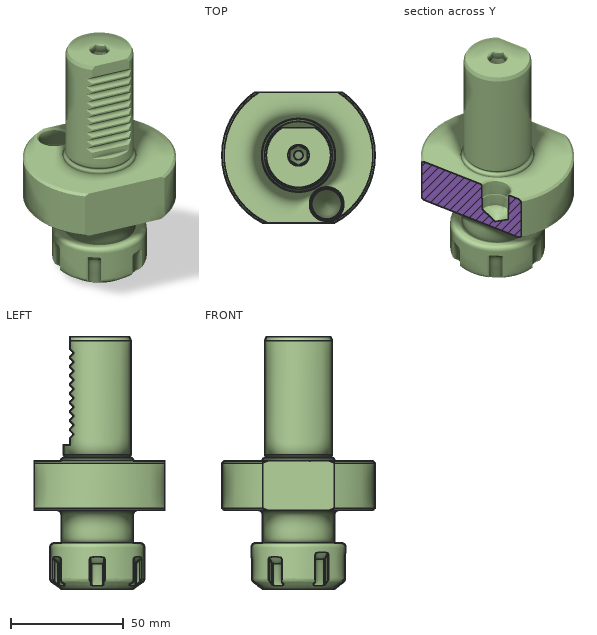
import cadquery as cq
import math

TOTAL_HEIGHT = 112.0
FLANGE_TOP = 57.0
FLANGE_BOTTOM = 35.0
NUT_TOP = 20.6

SHANK_RADIUS = 15.0
SHANK_TOP_CHAMFER_HEIGHT = 1.7
SHANK_TOP_CHAMFER_WIDTH = 0.8
SHANK_FOOT_Z = 58.6
SHANK_FOOT_CHAMFER_HEIGHT = 1.0
SHANK_FOOT_CHAMFER_WIDTH = 0.6

FLAT_Y = 12.1
FLAT_BOTTOM = 64.1
TOOTH_COUNT = 10
TOOTH_ROW_LENGTH = 36.1
TOOTH_DEPTH = 1.7
FIRST_TOOTH_Z = 68.8

FLANGE_RADIUS = 68.0 / 2
FLANGE_CHAMFER = 1.0
FLANGE_BACK_Y = 28.0
FLANGE_FRONT_Y = -30.0

SEAL_SECTION_RADIUS = 1.5
SEAL_CENTRE_RADIUS = 14.7
SEAL_GROOVE_RADIUS = 16.4
SEAL_GROOVE_DEPTH = 1.5

NECK_RADIUS = 16.0
NECK_FILLET = 1.9

NUT_RADIUS = 42.0 / 2
NUT_TOP_FILLET = 2.0
NUT_BORE_RADIUS = 17.2
NUT_BORE_DEPTH = 0.6
NUT_FACE_RADIUS = 15.7
NUT_CONE_ANGLE = 36
NUT_BOTTOM_FILLET = 2.2

SLOT_COUNT = 6
SLOT_FLOOR_RADIUS = 17.9
SLOT_FLOOR_WIDTH = 4.9
SLOT_WALL_WIDTH = 5.9
SLOT_MOUTH_WIDTH = 7.0
SLOT_FLOOR_CHAMFER = 0.5
SLOT_MOUTH_CHAMFER = 0.6
SLOT_TOP = 14.5
HIGH_SLOT_TOP = 16.5
SLOT_CORNER_FILLET = 1.0

HOLE_PITCH_RADIUS = 25.0
HOLE_ANGLE = -60
HOLE_MOUTH_RADIUS = 7.0
HOLE_MOUTH_DEPTH = 8.0
HOLE_CHAMFER = 0.7
HOLE_RADIUS = 6.6
HOLE_DEPTH = 14.0

DRILL_HALF_ANGLE = 59

HEX_ACROSS_FLATS = 8.0
HEX_DEPTH = 3.6
HEX_LEAD_IN_RADIUS = 4.7
HEX_TIP_RADIUS = 2.0


def main_body():
    """Shank, flange, neck and nut turned from one profile."""
    cone_angle = math.radians(NUT_CONE_ANGLE)
    corner_z = (NUT_RADIUS - NUT_FACE_RADIUS) * math.tan(cone_angle)
    tangent_length = NUT_BOTTOM_FILLET * math.tan((math.pi / 2 - cone_angle) / 2)
    cone_end = (
        NUT_RADIUS - tangent_length * math.cos(cone_angle),
        corner_z - tangent_length * math.sin(cone_angle),
    )
    shoulder = SHANK_RADIUS - SHANK_FOOT_CHAMFER_WIDTH
    profile = (
        cq.Workplane("XZ")
        .lineTo(NUT_FACE_RADIUS, 0)
        .lineTo(*cone_end)
        .radiusArc((NUT_RADIUS, corner_z + tangent_length), -NUT_BOTTOM_FILLET)
        .lineTo(NUT_RADIUS, NUT_TOP - NUT_TOP_FILLET)
        .radiusArc((NUT_RADIUS - NUT_TOP_FILLET, NUT_TOP), -NUT_TOP_FILLET)
        .lineTo(NUT_BORE_RADIUS, NUT_TOP)
        .lineTo(NUT_BORE_RADIUS, NUT_TOP - NUT_BORE_DEPTH)
        .lineTo(NECK_RADIUS, NUT_TOP - NUT_BORE_DEPTH)
        .lineTo(NECK_RADIUS, FLANGE_BOTTOM - NECK_FILLET)
        .radiusArc((NECK_RADIUS + NECK_FILLET, FLANGE_BOTTOM), NECK_FILLET)
        .lineTo(FLANGE_RADIUS - FLANGE_CHAMFER, FLANGE_BOTTOM)
        .lineTo(FLANGE_RADIUS, FLANGE_BOTTOM + FLANGE_CHAMFER)
        .lineTo(FLANGE_RADIUS, FLANGE_TOP - FLANGE_CHAMFER)
        .lineTo(FLANGE_RADIUS - FLANGE_CHAMFER, FLANGE_TOP)
        .lineTo(SEAL_GROOVE_RADIUS, FLANGE_TOP)
        .lineTo(SEAL_GROOVE_RADIUS, FLANGE_TOP - SEAL_GROOVE_DEPTH)
        .lineTo(shoulder, FLANGE_TOP - SEAL_GROOVE_DEPTH)
        .lineTo(shoulder, SHANK_FOOT_Z)
        .lineTo(SHANK_RADIUS, SHANK_FOOT_Z + SHANK_FOOT_CHAMFER_HEIGHT)
        .lineTo(SHANK_RADIUS, TOTAL_HEIGHT - SHANK_TOP_CHAMFER_HEIGHT)
        .lineTo(SHANK_RADIUS - SHANK_TOP_CHAMFER_WIDTH, TOTAL_HEIGHT)
        .lineTo(0, TOTAL_HEIGHT)
        .close()
    )
    return profile.revolve(360, (0, 0, 0), (0, 1, 0))


def seal_ring():
    """Round-section ring, half sunk below the flange top."""
    return (
        cq.Workplane("XZ")
        .center(SEAL_CENTRE_RADIUS, FLANGE_TOP)
        .circle(SEAL_SECTION_RADIUS)
        .revolve(360, (-SEAL_CENTRE_RADIUS, 0, 0), (-SEAL_CENTRE_RADIUS, 1, 0))
    )


def flange_flat_cutters():
    """Blocks beyond the front and back flats of the flange."""
    width = 2 * FLANGE_RADIUS
    height = FLANGE_TOP - FLANGE_BOTTOM
    blocks = cq.Workplane("XY", origin=(0, 0, FLANGE_BOTTOM))
    back = blocks.center(0, FLANGE_BACK_Y + width / 2).rect(width, width).extrude(height)
    front = blocks.center(0, FLANGE_FRONT_Y - width / 2).rect(width, width).extrude(height)
    return back.union(front)


def toothed_flat_cutter():
    """Material removed for the shank flat, with a row of right-angled V teeth across it."""
    points = [(SHANK_RADIUS, FLAT_BOTTOM), (FLAT_Y, FLAT_BOTTOM)]
    pitch = TOOTH_ROW_LENGTH / (TOOTH_COUNT - 1)
    for index in range(TOOTH_COUNT):
        z = FIRST_TOOTH_Z + index * pitch
        points += [
            (FLAT_Y, z - TOOTH_DEPTH),
            (FLAT_Y - TOOTH_DEPTH, z),
            (FLAT_Y, z + TOOTH_DEPTH),
        ]
    points += [(FLAT_Y, TOTAL_HEIGHT), (SHANK_RADIUS, TOTAL_HEIGHT)]
    return cq.Workplane("YZ").polyline(points).close().extrude(SHANK_RADIUS, both=True)


def spanner_slot_cutter(top, angle):
    """One slot, open at the bottom, with a roof sloping down towards its floor."""
    reach = NUT_RADIUS - SLOT_FLOOR_RADIUS
    half_floor = SLOT_FLOOR_WIDTH / 2
    half_wall = SLOT_WALL_WIDTH / 2
    half_mouth = SLOT_MOUTH_WIDTH / 2
    mouth_edge = math.sqrt(NUT_RADIUS**2 - half_mouth**2)
    right_side = [
        (SLOT_FLOOR_RADIUS, half_floor),
        (SLOT_FLOOR_RADIUS + SLOT_FLOOR_CHAMFER, half_wall),
        (mouth_edge - SLOT_MOUTH_CHAMFER, half_wall),
        (mouth_edge, half_mouth),
        (NUT_RADIUS + reach, half_mouth),
    ]
    left_side = [(x, -y) for x, y in reversed(right_side)]
    channel = cq.Workplane("XY").polyline(right_side + left_side).close().extrude(top + reach)
    roof = (
        cq.Workplane("XZ")
        .moveTo(SLOT_FLOOR_RADIUS, 0)
        .lineTo(SLOT_FLOOR_RADIUS, top - reach)
        .lineTo(NUT_RADIUS + reach, top + reach)
        .lineTo(NUT_RADIUS + reach, 0)
        .close()
        .extrude(half_mouth, both=True)
        .edges("|(1,0,1)")
        .fillet(SLOT_CORNER_FILLET)
    )
    return channel.intersect(roof).rotate((0, 0, 0), (0, 0, 1), angle)


def blind_hole_cutter():
    """Blind hole with a chamfered, slightly wider mouth and a drill-point bottom."""
    shoulder_z = FLANGE_TOP - HOLE_DEPTH
    tip_z = shoulder_z - HOLE_RADIUS / math.tan(math.radians(DRILL_HALF_ANGLE))
    step_z = FLANGE_TOP - HOLE_MOUTH_DEPTH
    angle = math.radians(HOLE_ANGLE)
    centre = (HOLE_PITCH_RADIUS * math.cos(angle), HOLE_PITCH_RADIUS * math.sin(angle), 0)
    return (
        cq.Workplane("XZ", origin=centre)
        .moveTo(0, tip_z)
        .lineTo(HOLE_RADIUS, shoulder_z)
        .lineTo(HOLE_RADIUS, step_z)
        .lineTo(HOLE_MOUTH_RADIUS, step_z)
        .lineTo(HOLE_MOUTH_RADIUS, FLANGE_TOP - HOLE_CHAMFER)
        .lineTo(HOLE_MOUTH_RADIUS + HOLE_CHAMFER, FLANGE_TOP)
        .lineTo(0, FLANGE_TOP)
        .close()
        .revolve(360, (0, 0, 0), (0, 1, 0))
    )


def hex_socket_cutter():
    """Hexagon socket with a chamfered mouth and a conical, flat-tipped bottom."""
    corner_radius = HEX_ACROSS_FLATS / math.sqrt(3)
    floor_z = TOTAL_HEIGHT - HEX_DEPTH
    cone_height = (corner_radius - HEX_TIP_RADIUS) / math.tan(math.radians(DRILL_HALF_ANGLE))
    tip_z = floor_z - cone_height
    lead_in_z = TOTAL_HEIGHT - (HEX_LEAD_IN_RADIUS - HEX_ACROSS_FLATS / 2)
    hexagon = (
        cq.Workplane("XY", origin=(0, 0, tip_z))
        .polygon(6, 2 * corner_radius)
        .extrude(TOTAL_HEIGHT - tip_z)
        .rotate((0, 0, 0), (0, 0, 1), 90)
    )
    envelope = (
        cq.Workplane("XZ")
        .moveTo(0, tip_z)
        .lineTo(HEX_TIP_RADIUS, tip_z)
        .lineTo(corner_radius, floor_z)
        .lineTo(corner_radius, TOTAL_HEIGHT)
        .lineTo(0, TOTAL_HEIGHT)
        .close()
        .revolve(360, (0, 0, 0), (0, 1, 0))
    )
    lead_in = (
        cq.Workplane("XZ")
        .moveTo(0, lead_in_z)
        .lineTo(HEX_ACROSS_FLATS / 2, lead_in_z)
        .lineTo(HEX_LEAD_IN_RADIUS, TOTAL_HEIGHT)
        .lineTo(0, TOTAL_HEIGHT)
        .close()
        .revolve(360, (0, 0, 0), (0, 1, 0))
    )
    return hexagon.intersect(envelope).union(lead_in)


result = main_body()
result = result.cut(flange_flat_cutters()).union(seal_ring())
result = result.cut(toothed_flat_cutter()).cut(blind_hole_cutter()).cut(hex_socket_cutter())
for index in range(SLOT_COUNT):
    slot_angle = index * 360 / SLOT_COUNT
    faces_plus_x = math.cos(math.radians(slot_angle)) > 0
    slot_top = HIGH_SLOT_TOP if faces_plus_x else SLOT_TOP
    result = result.cut(spanner_slot_cutter(slot_top, slot_angle))